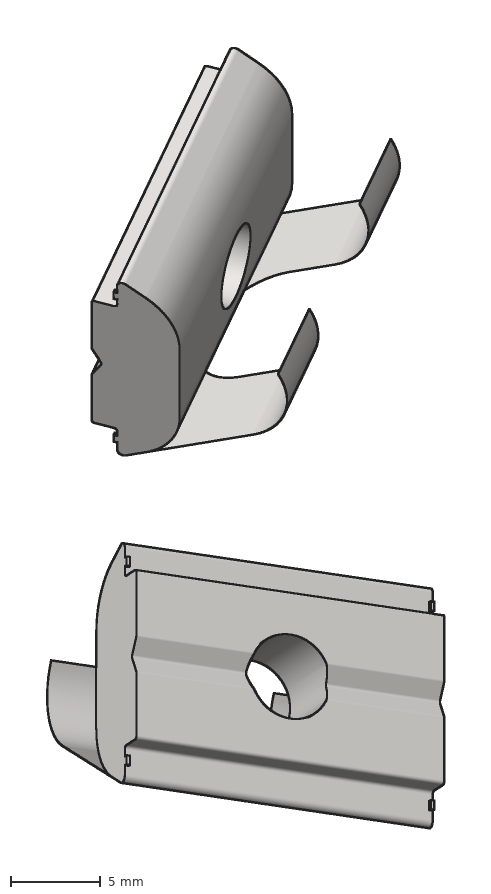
import cadquery as cq
import math

length = 19.0
height = 14.0
body_depth = 5.19
step_depth = 1.5
neck_height = 9.92
neck_round = 0.19
lip_round = 0.35
groove_mouth = 2.09
groove_round = 0.19
bore_diameter = 4.92

nub_projection = 0.2
nub_length = 0.23
nub_height = 0.53
nub_center_z = 5.81

slope = math.radians(30)
back_radius = 3.99
overall_depth = 11.53
strip_thickness = 0.02
strip_gap = 8.47

groove_depth = groove_mouth / 2 * math.tan(slope)
half_height = height / 2
lip_center = (step_depth + lip_round, half_height - lip_round)
lip_tangent = (
    lip_center[0] + lip_round * math.sin(slope),
    lip_center[1] + lip_round * math.cos(slope),
)


def on_circle(center, radius, angle):
    return (center[0] + radius * math.cos(angle), center[1] + radius * math.sin(angle))


def slope_z(x):
    """Height of the upper sloped back face at depth x."""
    return lip_tangent[1] - (x - lip_tangent[0]) * math.tan(slope)


normal_angle = math.pi / 2 - slope
back_center_x = body_depth - back_radius
back_tangent_x = back_center_x + back_radius * math.cos(normal_angle)
back_center_z = slope_z(back_tangent_x) - back_radius * math.sin(normal_angle)
back_center = (back_center_x, back_center_z)


def make_upper_half():
    """Upper half of the symmetric body, including its half of the groove."""
    neck_z = neck_height / 2
    lip_middle = on_circle(lip_center, lip_round, (math.pi + normal_angle) / 2)
    profile = (
        cq.Workplane("XZ")
        .moveTo(groove_depth, 0)
        .lineTo(0, groove_mouth / 2)
        .lineTo(0, neck_z - neck_round)
        .radiusArc((neck_round, neck_z), neck_round)
        .lineTo(step_depth - neck_round, neck_z)
        .radiusArc((step_depth, neck_z + neck_round), -neck_round)
        .lineTo(step_depth, lip_center[1])
        .threePointArc(lip_middle, lip_tangent)
        .lineTo(back_tangent_x, slope_z(back_tangent_x))
        .threePointArc(
            on_circle(back_center, back_radius, normal_angle / 2),
            (body_depth, back_center_z),
        )
        .lineTo(body_depth, 0)
        .close()
    )
    return profile.extrude(length / 2, both=True)


def add_nubs(body):
    for end in (-1, 1):
        for side in (-1, 1):
            nub = cq.Workplane("XY").box(2 * nub_projection, nub_length, nub_height)
            center_y = end * (length - nub_length) / 2
            body = body.union(nub.translate((step_depth, center_y, side * nub_center_z)))
    return body


def make_strip():
    """Thin spring: a tangent flat followed by a quarter turn, split by a round-ended slot."""
    center_x = overall_depth - back_radius
    bend_x = center_x + back_radius * math.cos(normal_angle)
    center_z = -slope_z(bend_x) + back_radius * math.sin(normal_angle)
    center = (center_x, center_z)
    inner_radius = back_radius - strip_thickness
    start_angle = -normal_angle
    end_angle = start_angle + math.pi / 2
    middle_angle = (start_angle + end_angle) / 2

    outer_start = (lip_tangent[0], -lip_tangent[1])
    inner_start = (
        outer_start[0] - strip_thickness * math.sin(slope),
        outer_start[1] + strip_thickness * math.cos(slope),
    )
    strip = (
        cq.Workplane("XZ")
        .moveTo(*outer_start)
        .lineTo(*on_circle(center, back_radius, start_angle))
        .threePointArc(
            on_circle(center, back_radius, middle_angle),
            on_circle(center, back_radius, end_angle),
        )
        .lineTo(*on_circle(center, inner_radius, end_angle))
        .threePointArc(
            on_circle(center, inner_radius, middle_angle),
            on_circle(center, inner_radius, start_angle),
        )
        .lineTo(*inner_start)
        .close()
        .extrude(length / 2, both=True)
    )

    slot_plane = cq.Plane(
        origin=(back_tangent_x, 0, -slope_z(back_tangent_x)),
        xDir=(math.cos(slope), 0, math.sin(slope)),
        normal=(-math.sin(slope), 0, math.cos(slope)),
    )
    slot_radius = strip_gap / 2
    slot = (
        cq.Workplane(slot_plane)
        .moveTo(overall_depth, slot_radius)
        .lineTo(slot_radius, slot_radius)
        .threePointArc((0, 0), (slot_radius, -slot_radius))
        .lineTo(overall_depth, -slot_radius)
        .close()
        .extrude(overall_depth, both=True)
    )
    return strip.cut(slot)


def round_groove(body):
    """Round the bottom and both mouth edges of the groove."""
    corners = [(0, -groove_mouth / 2), (groove_depth, 0), (0, groove_mouth / 2)]
    for x, z in corners:
        body = body.edges(cq.NearestToPointSelector((x, 0, z))).fillet(groove_round)
    return body


upper_half = make_upper_half()
body = round_groove(upper_half.union(upper_half.mirror("XY")))
bore = cq.Workplane("YZ").circle(bore_diameter / 2).extrude(body_depth)
body = add_nubs(body.cut(bore))
result = body.union(make_strip())